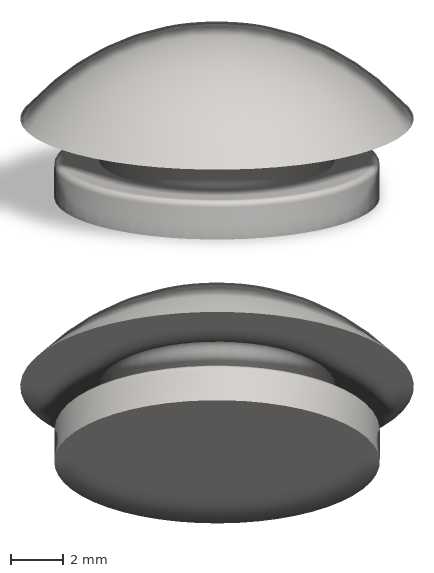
import cadquery as cq
import math

total_height = 6.6
flange_height = 1.5
cap_underside = 3.1

cap_radius = 15.0 / 2
neck_radius = 9.0 / 2
flange_radius = 12.4 / 2

rim_bevel = 0.3
flange_edge_radius = 0.22

dome_base_radius = cap_radius - rim_bevel
dome_base = cap_underside + rim_bevel
dome_rise = total_height - dome_base
sphere_radius = (dome_base_radius**2 + dome_rise**2) / (2 * dome_rise)
dome_mid_radius = dome_base_radius / 2
sphere_center = total_height - sphere_radius
dome_mid_height = sphere_center + math.sqrt(sphere_radius**2 - dome_mid_radius**2)

profile = (
    cq.Workplane("XZ")
    .lineTo(flange_radius, 0)
    .lineTo(flange_radius, flange_height - flange_edge_radius)
    .radiusArc((flange_radius - flange_edge_radius, flange_height), -flange_edge_radius)
    .lineTo(neck_radius, flange_height)
    .lineTo(neck_radius, cap_underside)
    .lineTo(cap_radius, cap_underside)
    .lineTo(dome_base_radius, dome_base)
    .threePointArc((dome_mid_radius, dome_mid_height), (0, total_height))
    .close()
)

result = profile.revolve(360, (0, 0, 0), (0, 1, 0))